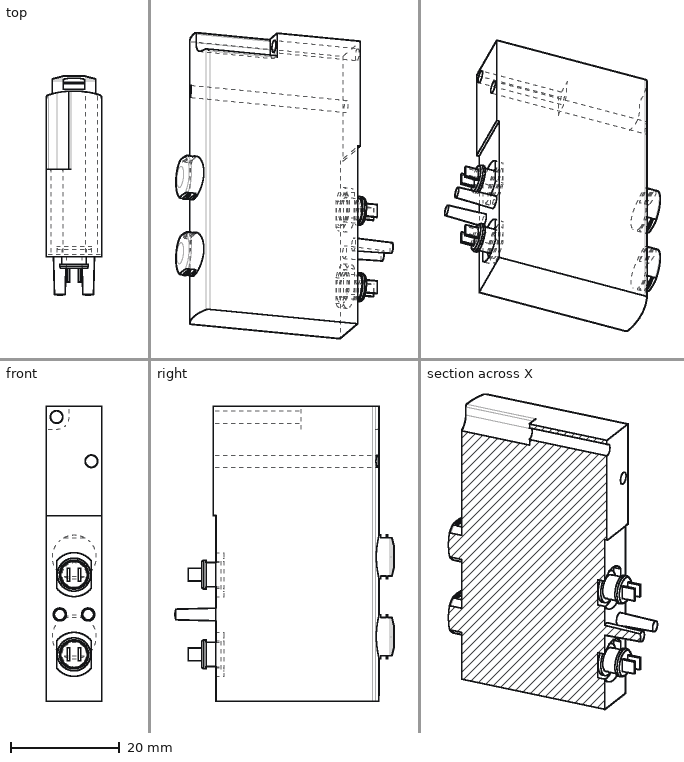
import cadquery as cq
import math


width = 10.2
height = 54.3
back_y = 30.05
back_radius = 16.3
back_edge_fillet = 0.6
step_z = 34.15
step_depth = 0.5

hole_diameter = 2.2
hole_x = 3.2
upper_hole_z = 52.3
lower_hole_z = 44.15
notch_start_y = 15.65
notch_radius = hole_diameter
notch_edge_fillet = 0.4

socket_pitch = 14.65
lower_connector_z = 8.65
recess_diameter = 8.1
recess_width = 6.4
recess_depth = 1.45
collar_diameter = 6.1
collar_height = 0.55
neck_diameter = 4.5
flange_diameter = 5.3
flange_start = 1.8
flange_end = 2.6
flange_chamfer_length = 0.4
flange_chamfer_height = 0.2
blade_end = 5.1
blade_thickness = 0.45
blade_height = 2.4
blade_offset = 1.05

pin_z = lower_connector_z + socket_pitch / 2
pin_offset = 2.6
pin_root_diameter = 2.4
pin_end_diameter = 2.0
pin_length = 7.4
pin_tip_height = 0.15

lower_button_z = 11.9
button_diameter = 8.1
button_top_y = 32.8
button_crown_diameter = 3.9
button_crown_drop = 0.55
button_edge_fillet = 0.4
button_root_depth = 1.65
button_flat = 3.55
rib_start_y = 31.35
rib_end_y = 31.65
button_base_y = 30.35


def box(x_range, y_range, z_range):
    sizes = [end - start for start, end in (x_range, y_range, z_range)]
    corner = (x_range[0], y_range[0], z_range[0])
    return cq.Workplane("XY").box(*sizes, centered=False).translate(corner)


def rod(diameter, y_start, y_end, x, z):
    """Cylinder along Y between two positions."""
    plane = cq.Workplane(cq.Plane((x, y_start, z), xDir=(1, 0, 0), normal=(0, 1, 0)))
    return plane.circle(diameter / 2).extrude(y_end - y_start)


def make_body():
    half = width / 2
    corner_y = back_y - back_radius + math.sqrt(back_radius**2 - half**2)
    outline = (
        cq.Workplane("XY")
        .moveTo(-half, -step_depth)
        .lineTo(half, -step_depth)
        .lineTo(half, corner_y)
        .threePointArc((0, back_y), (-half, corner_y))
        .close()
    )
    body = outline.extrude(height).edges("|Z").edges(">Y").fillet(back_edge_fillet)
    return body.cut(box((-half, half), (-step_depth, 0), (0, step_z)))


def make_notch():
    """Corner cut along Y: upright wall, concave round about the upper hole, ledge and rounded edges."""
    wall_x = notch_radius - hole_x
    ledge_z = upper_hole_z - notch_radius
    fillet = notch_edge_fillet
    diagonal = notch_radius * math.sqrt(0.5)
    fillet_inset = fillet * (1 - math.sqrt(0.5))
    left_x = -width / 2
    profile = (
        cq.Workplane(cq.Plane((0, notch_start_y, 0), xDir=(1, 0, 0), normal=(0, -1, 0)))
        .moveTo(wall_x + fillet, height)
        .threePointArc((wall_x + fillet_inset, height - fillet_inset), (wall_x, height - fillet))
        .lineTo(wall_x, upper_hole_z)
        .threePointArc((diagonal - hole_x, upper_hole_z - diagonal), (-hole_x, ledge_z))
        .lineTo(left_x + fillet, ledge_z)
        .threePointArc((left_x + fillet_inset, ledge_z - fillet_inset), (left_x, ledge_z - fillet))
        .lineTo(left_x, height)
        .close()
    )
    return profile.extrude(notch_start_y - back_y)


def make_recess(z):
    half = recess_width / 2
    radius = recess_diameter / 2
    sides = box((-half, half), (0, recess_depth), (z - radius, z + radius))
    return rod(recess_diameter, 0, recess_depth, 0, z).intersect(sides)


def make_connector(z):
    collar = rod(collar_diameter, recess_depth - collar_height, recess_depth, 0, z)
    neck = rod(neck_diameter, -flange_start, recess_depth, 0, z)
    flange = rod(flange_diameter, -flange_end, -flange_start, 0, z)
    flange = flange.faces("<Y").chamfer(flange_chamfer_length, flange_chamfer_height)
    connector = collar.union(neck).union(flange)
    for x in (-blade_offset, blade_offset):
        blade = box(
            (x - blade_thickness / 2, x + blade_thickness / 2),
            (-blade_end, -flange_end),
            (z - blade_height / 2, z + blade_height / 2),
        )
        connector = connector.union(blade)
    return connector


def make_pin(x):
    """Tapered pin with a shallow conical tip."""
    profile = (
        cq.Workplane("XY")
        .lineTo(pin_root_diameter / 2, 0)
        .lineTo(pin_end_diameter / 2, -pin_length)
        .lineTo(0, -pin_length - pin_tip_height)
        .close()
    )
    return profile.revolve(360, (0, 0, 0), (0, 1, 0)).translate((x, 0, pin_z))


def make_button(z):
    """Button with a flat crown, a conical shoulder and upper and lower flats split by a full-diameter rib."""
    radius = button_diameter / 2
    button_root_y = back_y - button_root_depth
    profile = (
        cq.Workplane("XY")
        .moveTo(0, button_root_y)
        .lineTo(radius, button_root_y)
        .lineTo(radius, button_top_y - button_crown_drop)
        .lineTo(button_crown_diameter / 2, button_top_y)
        .lineTo(0, button_top_y)
        .close()
    )
    button = profile.revolve(360, (0, 0, 0), (0, 1, 0))
    rims = button.edges(cq.selectors.RadiusNthSelector(-1))
    button = rims.edges(">Y").fillet(button_edge_fillet)
    for y_range in ((button_base_y, rib_start_y), (rib_end_y, button_top_y)):
        for z_range in ((-radius, -button_flat), (button_flat, radius)):
            button = button.cut(box((-radius, radius), y_range, z_range))
    return button.translate((0, 0, z))


result = make_body().cut(make_notch())

for x, z in ((-hole_x, upper_hole_z), (hole_x, lower_hole_z)):
    result = result.cut(rod(hole_diameter, -step_depth, back_y, x, z))

for row in range(2):
    connector_z = lower_connector_z + row * socket_pitch
    result = result.cut(make_recess(connector_z)).union(make_connector(connector_z))
    result = result.union(make_button(lower_button_z + row * socket_pitch))

for x in (-pin_offset, pin_offset):
    result = result.union(make_pin(x))